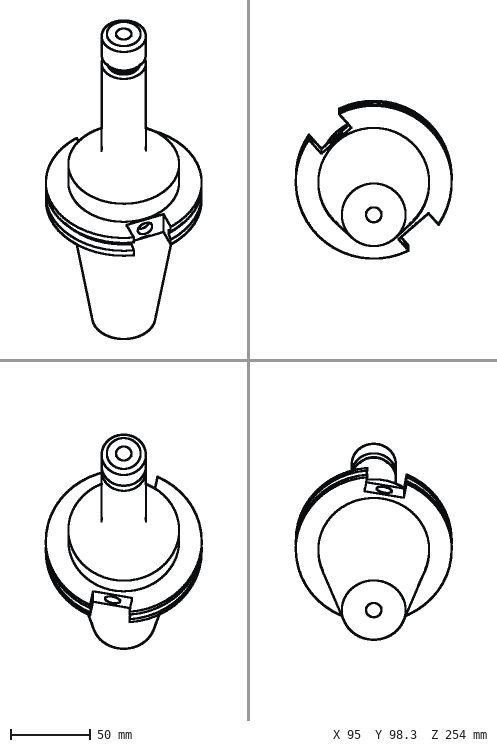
import cadquery as cq
import math

total_height = 254.0
gauge_height = 101.5
flange_bottom = 104.6
flange_thickness = 16.0
flange_top = flange_bottom + flange_thickness
collar_top = 137.0
shaft_top = 227.8
neck_step = 231.0
nose_bottom = 235.5

gauge_radius = 69.8 / 2
taper_ratio = 7 / 24
small_end_radius = gauge_radius - gauge_height * taper_ratio / 2
flange_radius = 98.3 / 2
shaft_radius = 14.0
neck_radius = 11.5
undercut_radius = 10.2
nose_top_radius = 10.7
nose_chamfer_angle = math.radians(30)
bore_radius = 4.8

cone_foot_radius = 24.1
blend_radius = 5.0

groove_depth = 3.5
groove_mouth = 7.0
groove_half_angle = math.radians(30)
flange_middle = flange_bottom + flange_thickness / 2

slot_width = 25.1
slot_floor_left = 37.8
slot_floor_right = 35.5
dimple_radius = 4.8
dimple_depth = 5.0


def make_body():
    """Revolve the whole outer profile about Z."""
    nose_chamfer = (shaft_radius - nose_top_radius) * math.tan(nose_chamfer_angle)

    tangent = blend_radius * math.tan(math.pi / 8)
    diagonal = tangent * math.sqrt(0.5)
    corner_gap = blend_radius * (1 / math.cos(math.pi / 8) - 1)
    gap_short = corner_gap * math.sin(math.pi / 8)
    gap_long = corner_gap * math.cos(math.pi / 8)
    cone_top = collar_top + cone_foot_radius - shaft_radius

    return (
        cq.Workplane("XZ")
        .lineTo(small_end_radius, 0)
        .lineTo(gauge_radius, gauge_height)
        .lineTo(gauge_radius, flange_bottom)
        .lineTo(flange_radius, flange_bottom)
        .lineTo(flange_radius, flange_top)
        .lineTo(gauge_radius, flange_top)
        .lineTo(gauge_radius, collar_top)
        .lineTo(cone_foot_radius + tangent, collar_top)
        .threePointArc(
            (cone_foot_radius + gap_short, collar_top + gap_long),
            (cone_foot_radius - diagonal, collar_top + diagonal),
        )
        .lineTo(shaft_radius + diagonal, cone_top - diagonal)
        .threePointArc(
            (shaft_radius + gap_long, cone_top + gap_short),
            (shaft_radius, cone_top + tangent),
        )
        .lineTo(shaft_radius, shaft_top)
        .lineTo(undercut_radius, shaft_top)
        .lineTo(neck_radius, neck_step)
        .lineTo(neck_radius, nose_bottom)
        .lineTo(shaft_radius, nose_bottom)
        .lineTo(shaft_radius, total_height - nose_chamfer)
        .lineTo(nose_top_radius, total_height)
        .lineTo(0, total_height)
        .close()
        .revolve(360, (0, 0, 0), (0, 1, 0))
    )


def make_groove():
    """Ring that cuts the V groove into the flange rim."""
    half_mouth = groove_mouth / 2
    half_floor = half_mouth - groove_depth * math.tan(groove_half_angle)
    floor_radius = flange_radius - groove_depth
    return (
        cq.Workplane("XZ")
        .moveTo(flange_radius, flange_middle - half_mouth)
        .lineTo(floor_radius, flange_middle - half_floor)
        .lineTo(floor_radius, flange_middle + half_floor)
        .lineTo(flange_radius, flange_middle + half_mouth)
        .close()
        .revolve(360, (0, 0, 0), (0, 1, 0))
    )


def make_drive_slot(side, floor_distance):
    """Slot through the flange on the given X side (-1 or 1)."""
    length = flange_radius - floor_distance
    return cq.Workplane("XY").box(length, slot_width, flange_thickness).translate(
        (side * (floor_distance + length / 2), 0, flange_middle)
    )


def make_dimple(side, floor_distance):
    """Round blind hole in the floor of a drive slot."""
    return (
        cq.Workplane("YZ", origin=(side * floor_distance, 0, flange_middle))
        .circle(dimple_radius)
        .extrude(-side * dimple_depth)
    )


bore = cq.Workplane("XY").circle(bore_radius).extrude(total_height)
result = make_body().cut(make_groove()).cut(bore)
for side, floor_distance in ((-1, slot_floor_left), (1, slot_floor_right)):
    result = result.cut(make_drive_slot(side, floor_distance))
    result = result.cut(make_dimple(side, floor_distance))